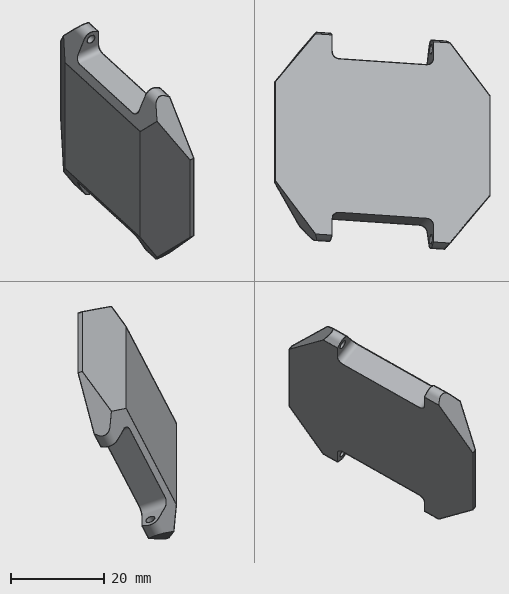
import cadquery as cq
import math

half_width = 23.75
half_height = 23.0
thickness = 7.0

face_half_width = 13.78
face_half_height = 15.05
edge_thickness = 1.0

side_half_height = 11.0
end_half_width = 14.25

lug_radius = 2.0
lug_center_depth = 2.0
back_slope = math.radians(30)

slot_half_width = 11.2
slot_floor_height = 17.0
slot_corner_radius = 1.5

pin_diameter = 2.0
pin_depth = 2.0

lug_center_height = half_height - lug_radius


def make_side_profile():
    """Lengthwise profile in YZ: flat front, sloping ends and rounded lug tips."""
    reach_y = thickness - lug_center_depth
    reach_z = lug_center_height - face_half_height
    distance = math.hypot(reach_y, reach_z)
    touch_angle = math.acos(lug_radius / distance) - math.atan2(reach_z, reach_y)
    touch_y = -lug_center_depth - lug_radius * math.cos(touch_angle)
    touch_z = lug_center_height + lug_radius * math.sin(touch_angle)

    slope_y = -lug_center_depth + lug_radius * math.sin(back_slope)
    slope_z = lug_center_height + lug_radius * math.cos(back_slope)
    back_z = slope_z + slope_y * math.tan(back_slope)

    return (
        cq.Workplane("YZ", origin=(-half_width, 0, 0))
        .moveTo(-thickness, -face_half_height)
        .lineTo(-thickness, face_half_height)
        .lineTo(touch_y, touch_z)
        .threePointArc((-lug_center_depth, half_height), (slope_y, slope_z))
        .lineTo(0, back_z)
        .lineTo(0, -back_z)
        .lineTo(slope_y, -slope_z)
        .threePointArc((-lug_center_depth, -half_height), (touch_y, -touch_z))
        .close()
        .extrude(2 * half_width)
    )


def make_cross_profile():
    """Crosswise profile in XY: thin outer edges and bevelled sides."""
    return (
        cq.Workplane("XY", origin=(0, 0, -half_height))
        .polyline([
            (-half_width, 0),
            (half_width, 0),
            (half_width, -edge_thickness),
            (face_half_width, -thickness),
            (-face_half_width, -thickness),
            (-half_width, -edge_thickness),
        ])
        .close()
        .extrude(2 * half_height)
    )


def make_outline():
    """Eight-sided outline in XZ."""
    return (
        cq.Workplane("XZ")
        .polyline([
            (half_width, side_half_height),
            (end_half_width, half_height),
            (-end_half_width, half_height),
            (-half_width, side_half_height),
            (-half_width, -side_half_height),
            (-end_half_width, -half_height),
            (end_half_width, -half_height),
            (half_width, -side_half_height),
        ])
        .close()
        .extrude(thickness)
    )


def make_slot(end):
    """Open slot at one end (+1 upper, -1 lower) with rounded floor corners."""
    cutter_height = 2 * (half_height - slot_floor_height)
    return (
        cq.Workplane("XY")
        .box(2 * slot_half_width, thickness, cutter_height)
        .edges("|Y")
        .fillet(slot_corner_radius)
        .translate((0, -thickness / 2, end * half_height))
    )


def make_pin_holes(end):
    """Pair of facing blind holes, joined across the empty slot."""
    half_span = slot_half_width + pin_depth
    return (
        cq.Workplane("YZ", origin=(-half_span, 0, 0))
        .center(-lug_center_depth, end * lug_center_height)
        .circle(pin_diameter / 2)
        .extrude(2 * half_span)
    )


result = make_side_profile().intersect(make_cross_profile()).intersect(make_outline())
for end in (1, -1):
    result = result.cut(make_slot(end)).cut(make_pin_holes(end))